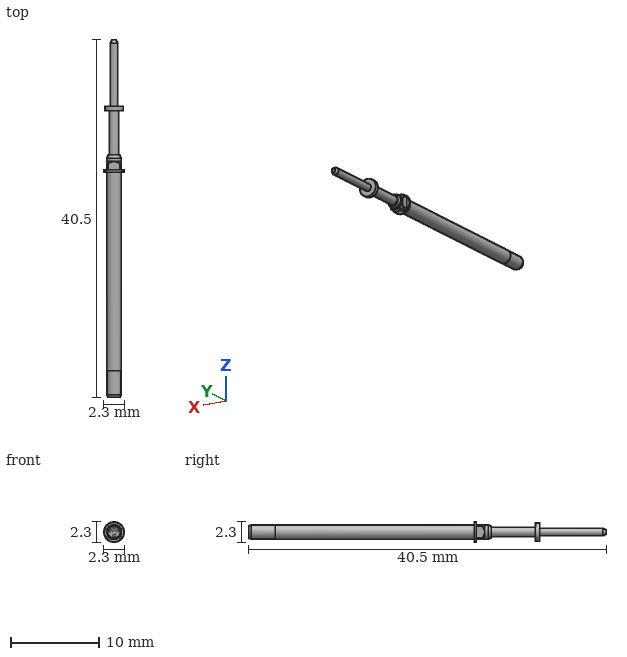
import cadquery as cq

total_length = 40.5

barrel_diameter = 1.65
end_chamfer_radial = 0.1
end_chamfer_length = 0.3
plunger_length = 3.0
plunger_diameter = 1.62

flange_diameter = 2.3
flange_start = 25.52
flange_width = 0.25

sleeve_end = 27.45
sleeve_chamfer_radial = 0.15
sleeve_chamfer_length = 0.35
square_across = 1.66
square_corner_diameter = 2.1
square_length = 0.95

stem_diameter = 1.12
collar_diameter = 2.1
collar_start = 32.45
collar_width = 0.52
tail_diameter = 0.87
tip_chamfer_radial = 0.2
tip_chamfer_length = 0.4

flange_end = flange_start + flange_width
collar_end = collar_start + collar_width


def make_turned_body():
    """Revolve the half outline of the whole pin about the Y axis."""
    barrel_radius = barrel_diameter / 2
    plunger_radius = plunger_diameter / 2
    flange_radius = flange_diameter / 2
    stem_radius = stem_diameter / 2
    collar_radius = collar_diameter / 2
    tail_radius = tail_diameter / 2
    outline = (
        cq.Workplane("ZY")
        .moveTo(0, 0)
        .lineTo(plunger_radius - end_chamfer_radial, 0)
        .lineTo(plunger_radius, end_chamfer_length)
        .lineTo(plunger_radius, plunger_length)
        .lineTo(barrel_radius, plunger_length)
        .lineTo(barrel_radius, flange_start)
        .lineTo(flange_radius, flange_start)
        .lineTo(flange_radius, flange_end)
        .lineTo(barrel_radius, flange_end)
        .lineTo(barrel_radius, sleeve_end - sleeve_chamfer_length)
        .lineTo(barrel_radius - sleeve_chamfer_radial, sleeve_end)
        .lineTo(stem_radius, sleeve_end)
        .lineTo(stem_radius, collar_start)
        .lineTo(collar_radius, collar_start)
        .lineTo(collar_radius, collar_end)
        .lineTo(tail_radius, collar_end)
        .lineTo(tail_radius, total_length - tip_chamfer_length)
        .lineTo(tail_radius - tip_chamfer_radial, total_length)
        .lineTo(0, total_length)
        .close()
    )
    return outline.revolve(360, (0, 0, 0), (0, 1, 0))


def make_square_section():
    """Square bar whose corners are rounded to a diameter and coned at the +Y end."""
    base = cq.Workplane("XZ", origin=(0, flange_end, 0))
    square_bar = base.rect(square_across, square_across).extrude(-square_length)
    lead_in = (square_corner_diameter - barrel_diameter) / 2
    round_blank = base.circle(square_corner_diameter / 2).extrude(-square_length)
    return square_bar.intersect(round_blank.faces(">Y").chamfer(lead_in))


result = make_turned_body().union(make_square_section())